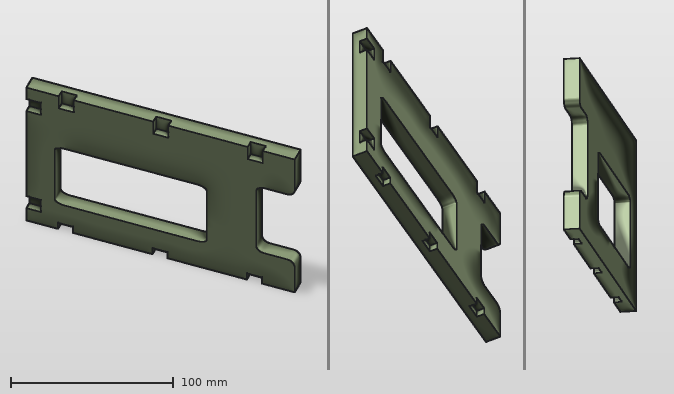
import cadquery as cq

length = 177.8
thickness = 10.0
height = 109.5

window_left = 18.8
window_right = 119.5
window_bottom = 20.8
window_top = 67.4
window_corner_x = 6.4
window_corner_z = 3.2

mouth_depth = 25.6
mouth_bottom = 25.6
mouth_top = 79.1
mouth_radius = thickness / 2

notch_depth = thickness / 2
notch_width = 10.0
notch_pitch = 62.5
notches_per_edge = 3
top_notch_start = 21.5
top_notch_reach = 10.0
bottom_notch_start = 21.0
bottom_notch_reach = 5.2
left_notch_reach = 9.6
left_notch_starts = (10.1, 90.1)


def block(x_min, x_max, z_min, z_max, depth):
    """Box that runs from the front face back to the given depth."""
    box = cq.Workplane("XY").box(x_max - x_min, depth, z_max - z_min, centered=False)
    return box.translate((x_min, 0, z_min))


def plate_with_mouth():
    mouth_x = length - mouth_depth
    plate = block(0, length, 0, height, thickness)
    plate = plate.cut(block(mouth_x, length, mouth_bottom, mouth_top, thickness))
    mouth_corners = cq.selectors.BoxSelector(
        (0, 0, mouth_bottom / 2),
        (length + mouth_depth, thickness, (mouth_top + height) / 2),
    )
    return plate.edges("|Y").edges(mouth_corners).fillet(mouth_radius)


def window():
    """Cross of two boxes, with an elliptical cylinder rounding each corner."""
    inner_left = window_left + window_corner_x
    inner_right = window_right - window_corner_x
    inner_bottom = window_bottom + window_corner_z
    inner_top = window_top - window_corner_z
    opening = block(inner_left, inner_right, window_bottom, window_top, thickness)
    opening = opening.union(block(window_left, window_right, inner_bottom, inner_top, thickness))
    for center_x in (inner_left, inner_right):
        for center_z in (inner_bottom, inner_top):
            corner = cq.Workplane("XZ").center(center_x, center_z).ellipse(window_corner_x, window_corner_z)
            opening = opening.union(corner.extrude(-thickness))
    return opening


def edge_notches():
    notches = []
    for index in range(notches_per_edge):
        top_x = top_notch_start + index * notch_pitch
        bottom_x = bottom_notch_start + index * notch_pitch
        notches.append(block(top_x, top_x + notch_width, height - top_notch_reach, height, notch_depth))
        notches.append(block(bottom_x, bottom_x + notch_width, 0, bottom_notch_reach, notch_depth))
    for left_z in left_notch_starts:
        notches.append(block(0, left_notch_reach, left_z, left_z + notch_width, notch_depth))
    return notches


result = plate_with_mouth().cut(window())
for notch in edge_notches():
    result = result.cut(notch)